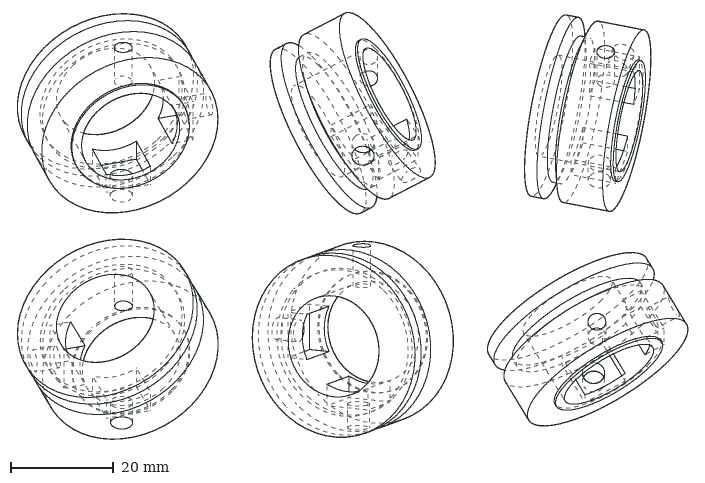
import cadquery as cq

outer_diameter = 36.0
bore_diameter = 20.0
body_length = 15.75
boss_diameter = 24.0
boss_length = 0.5
total_length = body_length + boss_length

flange_length = 2.52
groove_floor_diameter = 29.0
groove_floor_length = 1.62
groove_flank_length = 1.15

pocket_size = 9.0
pocket_center_x = 10.22
pocket_floor_radius = 13.2
screw_hole_diameter = 4.32
pocket_angles = (-90, 180)

top_hole_diameter = 3.45
top_hole_x = 11.52


def collar_body():
    """Revolve the grooved half section, including the bore, about X."""
    outer_radius = outer_diameter / 2
    boss_radius = boss_diameter / 2
    bore_radius = bore_diameter / 2
    floor_radius = groove_floor_diameter / 2
    floor_start = flange_length + groove_flank_length
    floor_end = floor_start + groove_floor_length
    section = [
        (0, bore_radius),
        (0, outer_radius),
        (flange_length, outer_radius),
        (floor_start, floor_radius),
        (floor_end, floor_radius),
        (floor_end + groove_flank_length, outer_radius),
        (body_length, outer_radius),
        (body_length, boss_radius),
        (total_length, boss_radius),
        (total_length, bore_radius),
    ]
    return cq.Workplane("XY").polyline(section).close().revolve(360, (0, 0, 0), (1, 0, 0))


def radial_hole(x, diameter):
    """Cylinder from the axis out past the rim, toward +Z."""
    return cq.Workplane("XY").center(x, 0).circle(diameter / 2).extrude(outer_diameter)


def pocket_with_hole():
    """Square pocket and its screw hole, toward +Z."""
    pocket = (
        cq.Workplane("XY")
        .center(pocket_center_x, 0)
        .rect(pocket_size, pocket_size)
        .extrude(pocket_floor_radius)
    )
    return pocket.union(radial_hole(pocket_center_x, screw_hole_diameter))


result = collar_body().cut(radial_hole(top_hole_x, top_hole_diameter))
for angle in pocket_angles:
    result = result.cut(pocket_with_hole().rotate((0, 0, 0), (1, 0, 0), angle))